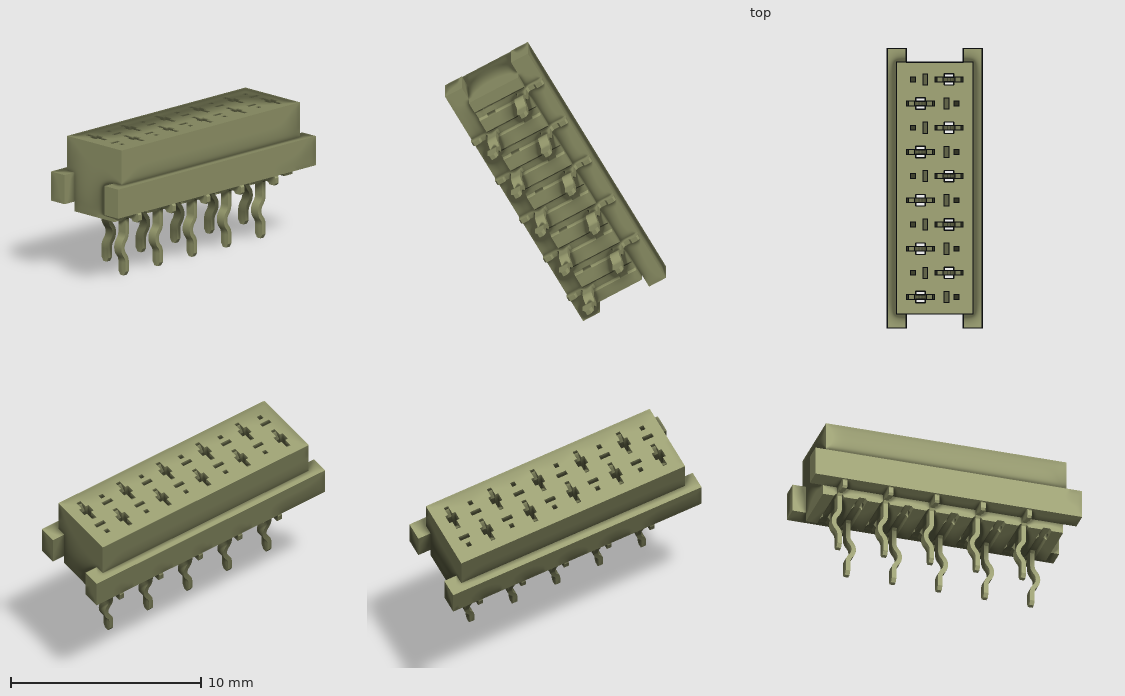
import cadquery as cq
import math


housing_length = 13.25
housing_width = 4.04
housing_height = 4.01
base_width = 2.97

rail_length = 14.7
rail_span = 5
rail_bottom = 0.53
rail_height = 1.59

row_count = 10
row_span = 11.44
row_pitch = row_span / (row_count - 1)
contact_thickness = 0.25

tunnel_height = 0.13
tunnel_roof_width = 0.35
tunnel_mouth_width = 0.56

fork_offset = 0.75
fork_slot_width = 1.47
fork_hole_width = 0.49
wide_opening_length = 0.59
pocket_width = 0.25
pocket_depth = 1.18
pocket_offset_left = 0.5
pocket_offset_right = 0.62
sight_hole_inner = 1.0
sight_hole_outer = 1.26
sight_hole_depth = 0.88
sight_hole_floor_angle = 77

fork_tip_depth = 0.07
fork_tip_inset = 0.1
fork_flank_drop = 0.81
fork_throat_width = 0.62
fork_throat_depth = 1.76
fork_floor_radius = 0.24

foot_width = 0.44
foot_slope = 0.1
foot_chamfer_width = 0.09
foot_chamfer_height = 0.12

tail_offset = 1.26
tail_width = 0.53
tail_flare = 0.11
tail_end = -3.09
tip_width = 0.25
tip_height = 0.22
wave_top = -0.75
wave_bottom = -2.35
wave_depth = 0.31


def box(x_min, x_max, length, z_min, z_max):
    """Block centred on Y between the given X and Z limits."""
    blank = cq.Workplane("XY").box(x_max - x_min, length, z_max - z_min, centered=(False, True, False))
    return blank.translate((x_min, 0, z_min))


def plate(points, thickness):
    """Closed XZ outline extruded equally to both sides of Y = 0."""
    return cq.Workplane("XZ").polyline(points).close().extrude(thickness / 2, both=True)


def make_housing():
    """Upper block on a narrower base, with a full-length rail on each side."""
    rail_top = rail_bottom + rail_height
    half_base = base_width / 2
    half_span = rail_span / 2
    body = box(-half_base, half_base, housing_length, 0, housing_height)
    body = body.union(box(-housing_width / 2, housing_width / 2, housing_length, rail_top, housing_height))
    body = body.union(box(-half_span, -half_base, rail_length, rail_bottom, rail_top))
    body = body.union(box(half_base, half_span, rail_length, rail_bottom, rail_top))
    return body


def make_tunnel():
    """Trapezoidal groove running along X through the underside."""
    half_mouth = tunnel_mouth_width / 2
    half_roof = tunnel_roof_width / 2
    outline = [(-half_mouth, 0), (half_mouth, 0), (half_roof, tunnel_height), (-half_roof, tunnel_height)]
    return cq.Workplane("YZ").polyline(outline).close().extrude(rail_span / 2, both=True)


def make_openings(pocket_offset):
    """Top openings of a row whose fork is on +X: fork slot, through hole, pocket and sight hole."""
    half_slot = fork_slot_width / 2
    half_hole = fork_hole_width / 2
    slot = box(
        fork_offset - half_slot, fork_offset + half_slot, contact_thickness,
        housing_height - fork_throat_depth, housing_height,
    )
    hole = box(fork_offset - half_hole, fork_offset + half_hole, wide_opening_length, 0, housing_height)
    pocket = box(
        -pocket_offset - pocket_width / 2, -pocket_offset + pocket_width / 2, wide_opening_length,
        housing_height - pocket_depth, housing_height,
    )
    floor_high = housing_height - sight_hole_depth
    floor_drop = (sight_hole_outer - sight_hole_inner) * math.tan(math.radians(sight_hole_floor_angle))
    sight_hole = plate(
        [
            (-sight_hole_outer, housing_height),
            (-sight_hole_outer, floor_high),
            (-sight_hole_inner, floor_high - floor_drop),
            (-sight_hole_inner, housing_height),
        ],
        contact_thickness,
    )
    return slot.union(hole).union(pocket).union(sight_hole)


def make_fork():
    """Two-armed fork with 45 degree lead-ins and a round-cornered throat floor."""
    half_slot = fork_slot_width / 2
    half_tip = half_slot - fork_tip_inset
    half_throat = fork_throat_width / 2
    tip = housing_height - fork_tip_depth
    flank = tip - fork_flank_drop
    lead_in_end = tip - (half_tip - half_throat)
    throat_floor = housing_height - fork_throat_depth
    blank = plate(
        [
            (-half_slot, tunnel_height), (-half_slot, flank), (-half_tip, tip),
            (half_tip, tip), (half_slot, flank), (half_slot, tunnel_height),
        ],
        contact_thickness,
    )
    throat = plate(
        [
            (-half_throat, throat_floor), (-half_throat, lead_in_end), (-half_tip, tip),
            (half_tip, tip), (half_throat, lead_in_end), (half_throat, throat_floor),
        ],
        contact_thickness,
    )
    throat = throat.edges("|Y and <Z").fillet(fork_floor_radius)
    return blank.cut(throat).translate((fork_offset, 0, 0))


def make_foot():
    """Bar from the tail to the outer edge of the rail, with a stand-off at its end."""
    outer = -rail_span / 2
    chamfered = outer + foot_chamfer_width
    foot_inner = outer + foot_width
    return plate(
        [
            (chamfered, 0),
            (foot_inner, 0),
            (foot_inner + foot_slope, tunnel_height),
            (-tail_offset, tunnel_height),
            (-tail_offset, rail_bottom),
            (chamfered, rail_bottom),
            (outer, rail_bottom - foot_chamfer_height),
            (outer, foot_chamfer_height),
        ],
        contact_thickness,
    )


def make_wave_strip():
    """Tail strip seen along X: straight, bowed towards +Y by equal tangent arcs, straight again."""
    half_height = (wave_top - wave_bottom) / 2
    wave_middle = wave_top - half_height
    bend = 2 * math.atan(wave_depth / half_height)
    radius = half_height / (2 * math.sin(bend))
    half_thickness = contact_thickness / 2

    def edge_points(side):
        """Arc ends and mid-points of one face, from the wave top to the wave bottom."""
        shift = side * half_thickness
        end_radius = radius - shift

        def end_arc(angle):
            return radius - end_radius * math.cos(angle), end_radius * math.sin(angle)

        half_bend_y, half_bend_z = end_arc(bend / 2)
        bend_y, bend_z = end_arc(bend)
        return [
            (shift, wave_top),
            (half_bend_y, wave_top - half_bend_z),
            (bend_y, wave_top - bend_z),
            (wave_depth + shift, wave_middle),
            (bend_y, wave_bottom + bend_z),
            (half_bend_y, wave_bottom + half_bend_z),
            (shift, wave_bottom),
        ]

    outer = edge_points(1)
    inner = edge_points(-1)[::-1]
    strip = cq.Workplane("YZ").moveTo(half_thickness, tunnel_height).lineTo(*outer[0])
    for index in (1, 3, 5):
        strip = strip.threePointArc(outer[index], outer[index + 1])
    strip = strip.lineTo(half_thickness, tail_end).lineTo(-half_thickness, tail_end).lineTo(*inner[0])
    for index in (1, 3, 5):
        strip = strip.threePointArc(inner[index], inner[index + 1])
    strip = strip.lineTo(-half_thickness, tunnel_height).close()
    return strip.extrude(tail_width, both=True)


def make_tail():
    """Waved solder tail, flared where it leaves the tunnel and tapered at the tip."""
    half_width = tail_width / 2
    half_root = half_width + tail_flare
    half_tip = tip_width / 2
    strip_clearance = 2 * (wave_depth + contact_thickness)
    taper_start = tail_end + tip_height
    outline = plate(
        [
            (-half_root, tunnel_height), (-half_width, 0), (-half_width, taper_start), (-half_tip, tail_end),
            (half_tip, tail_end), (half_width, taper_start), (half_width, 0), (half_root, tunnel_height),
        ],
        strip_clearance,
    )
    return make_wave_strip().intersect(outline).translate((-tail_offset, 0, 0))


tunnel = make_tunnel()
openings_fork_right = make_openings(pocket_offset_left)
openings_fork_left = make_openings(pocket_offset_right).mirror("YZ")
contact_fork_right = make_fork().union(make_foot()).union(make_tail())
contact_fork_left = contact_fork_right.rotate((0, 0, 0), (0, 0, 1), 180)

result = make_housing()
for row in range(row_count):
    place = (0, row_span / 2 - row * row_pitch, 0)
    if row % 2 == 0:
        openings = openings_fork_right
        contact = contact_fork_right
    else:
        openings = openings_fork_left
        contact = contact_fork_left
    result = result.cut(tunnel.translate(place)).cut(openings.translate(place))
    result = result.union(contact.translate(place))